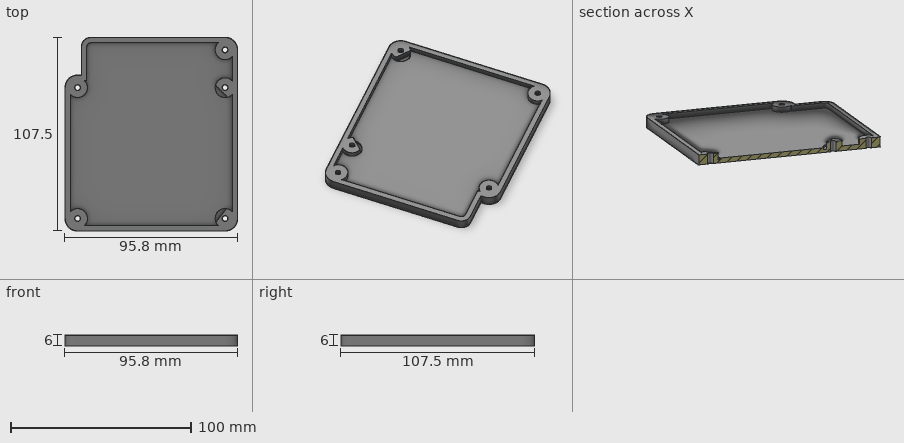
import cadquery as cq

width = 95.8
length = 107.5
height = 6.0
wall = 3.0
pocket_depth = 3.0

notch_width = 9.0
notch_length = 21.0
corner_radius = 7.0
notch_corner_radius = 5.5

boss_radius = 5.5
hole_diameter = 3.0
left_x = corner_radius
right_x = width - corner_radius
front_y = corner_radius
back_y = length - corner_radius
step_y = back_y - notch_length
boss_centers = [
    (left_x, front_y),
    (right_x, front_y),
    (left_x, step_y),
    (right_x, step_y),
    (right_x, back_y),
]

flat_offset = 2.8
recess_depth = 1.0
flatted_bosses = [
    ((right_x, front_y), 142),
    ((right_x, step_y), 225),
]

floor_z = height - pocket_depth


def stepped_plate(inset, bottom, thickness):
    """Rectangle with a notched corner, moved inward by inset and extruded."""
    left = inset
    right = width - inset
    front = inset
    back = length - inset
    step_left = notch_width + inset
    step_back = length - notch_length - inset
    plate = (
        cq.Workplane("XY", origin=(0, 0, bottom))
        .polyline([
            (left, front), (right, front), (right, back),
            (step_left, back), (step_left, step_back), (left, step_back),
        ])
        .close()
        .extrude(thickness)
    )
    mid_z = bottom + thickness / 2
    for x, y in [(left, front), (right, front), (right, back), (left, step_back)]:
        corner = cq.selectors.NearestToPointSelector((x, y, mid_z))
        plate = plate.edges("|Z").edges(corner).fillet(corner_radius - inset)
    corner = cq.selectors.NearestToPointSelector((step_left, back, mid_z))
    return plate.edges("|Z").edges(corner).fillet(notch_corner_radius - inset)


def flat_cutter(center, facing):
    """Circular segment beyond the boss flat, cut from the rim down past the floor."""
    depth = pocket_depth + recess_depth
    bottom = floor_z - recess_depth
    disc = cq.Workplane("XY", origin=(*center, bottom)).circle(boss_radius).extrude(depth)
    beyond_flat = (
        cq.Workplane("XY", origin=(0, 0, bottom))
        .center(flat_offset + boss_radius / 2, 0)
        .rect(boss_radius, 2 * boss_radius)
        .extrude(depth)
        .rotate((0, 0, 0), (0, 0, 1), facing)
        .translate((*center, 0))
    )
    return disc.intersect(beyond_flat)


pocket = stepped_plate(wall, floor_z, pocket_depth)
result = stepped_plate(0, 0, height).cut(pocket)

bosses = (
    cq.Workplane("XY", origin=(0, 0, floor_z))
    .pushPoints(boss_centers)
    .circle(boss_radius)
    .extrude(pocket_depth)
)
result = result.union(bosses)

for boss_center, facing_angle in flatted_bosses:
    cutter = flat_cutter(boss_center, facing_angle)
    result = result.cut(cutter)

holes = cq.Workplane("XY").pushPoints(boss_centers).circle(hole_diameter / 2).extrude(height)
result = result.cut(holes)